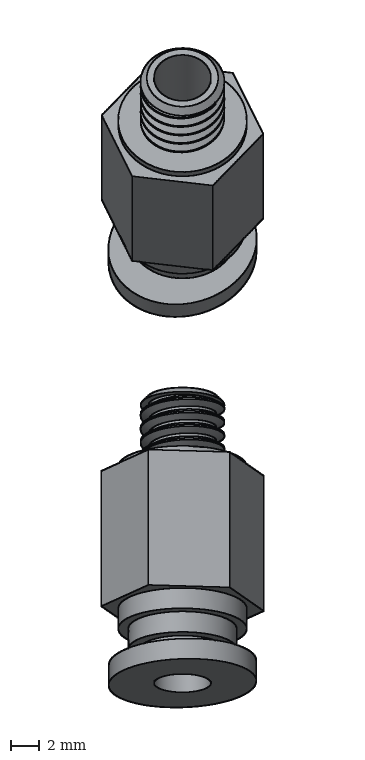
import cadquery as cq
import math

total_height = 21.0
bore_dia = 4.0

flange_length_x = 10.0
flange_length_y = 11.0
flange_height = 1.5
neck_dia = 6.0
neck_top = 2.5

step_dia = 7.6
step_top = 4.01
collar_dia = 9.0
collar_top = 5.5
hex_across_corners = 11.42
hex_top = 15.5
washer_top = 16.0

thread_pitch = 1.0
thread_dia = 5.88
root_dia = 4.75
crest_width = 0.13
flank_half_angle = 30.0
crest_height_at_x_axis = 20.4
ridge_root_overlap = 0.06
ridge_turns = 6

tip_top_dia = 5.0
tip_height = 0.46
tip_base = total_height - tip_height


def cylinder(dia, bottom, top):
    return cq.Workplane("XY").workplane(offset=bottom).circle(dia / 2).extrude(top - bottom)


def make_collet():
    """Oval push flange with a round neck above it, bored through."""
    flange = cq.Workplane("XY").ellipse(flange_length_x / 2, flange_length_y / 2).extrude(flange_height)
    neck = cylinder(neck_dia, flange_height, neck_top)
    return flange.union(neck).cut(cylinder(bore_dia, 0, neck_top))


def make_ridge():
    """Right-handed helical ridge, trimmed between the washer face and the tip."""
    bottom = crest_height_at_x_axis - ridge_turns * thread_pitch
    inner_radius = root_dia / 2 - ridge_root_overlap
    outer_radius = thread_dia / 2
    half_crest = crest_width / 2
    half_root = half_crest + (outer_radius - inner_radius) * math.tan(math.radians(flank_half_angle))
    helix = cq.Wire.makeHelix(
        thread_pitch, ridge_turns * thread_pitch, inner_radius, center=cq.Vector(0, 0, bottom)
    )
    profile = cq.Workplane("XZ").polyline([
        (inner_radius, bottom - half_root),
        (outer_radius, bottom - half_crest),
        (outer_radius, bottom + half_crest),
        (inner_radius, bottom + half_root),
    ]).close()
    ridge = profile.sweep(cq.Workplane(helix), isFrenet=True)
    return ridge.intersect(cylinder(2 * thread_dia, washer_top, tip_base))


def make_tip():
    """Chamfered lead-in that closes the thread at the top."""
    tip = cq.Solid.makeCone(thread_dia / 2, tip_top_dia / 2, tip_height, pnt=cq.Vector(0, 0, tip_base))
    return cq.Workplane(tip)


def make_hexagon():
    """Wrench hexagon with corners on the Y axis."""
    hexagon = cq.Workplane("XY").workplane(offset=collar_top).polygon(6, hex_across_corners)
    return hexagon.extrude(hex_top - collar_top).rotate((0, 0, 0), (0, 0, 1), 30)


def make_housing():
    """Stepped hexagonal housing with a threaded spigot, bored through."""
    housing = cylinder(step_dia, neck_top, step_top)
    housing = housing.union(cylinder(collar_dia, step_top, collar_top))
    housing = housing.union(make_hexagon())
    housing = housing.union(cylinder(collar_dia, hex_top, washer_top))
    spigot = cylinder(root_dia, washer_top, tip_base).union(make_ridge()).union(make_tip())
    return housing.union(spigot).cut(cylinder(bore_dia, neck_top, total_height))


collet = make_collet()
housing = make_housing()
result = cq.Compound.makeCompound([collet.solids().val(), housing.solids().val()])